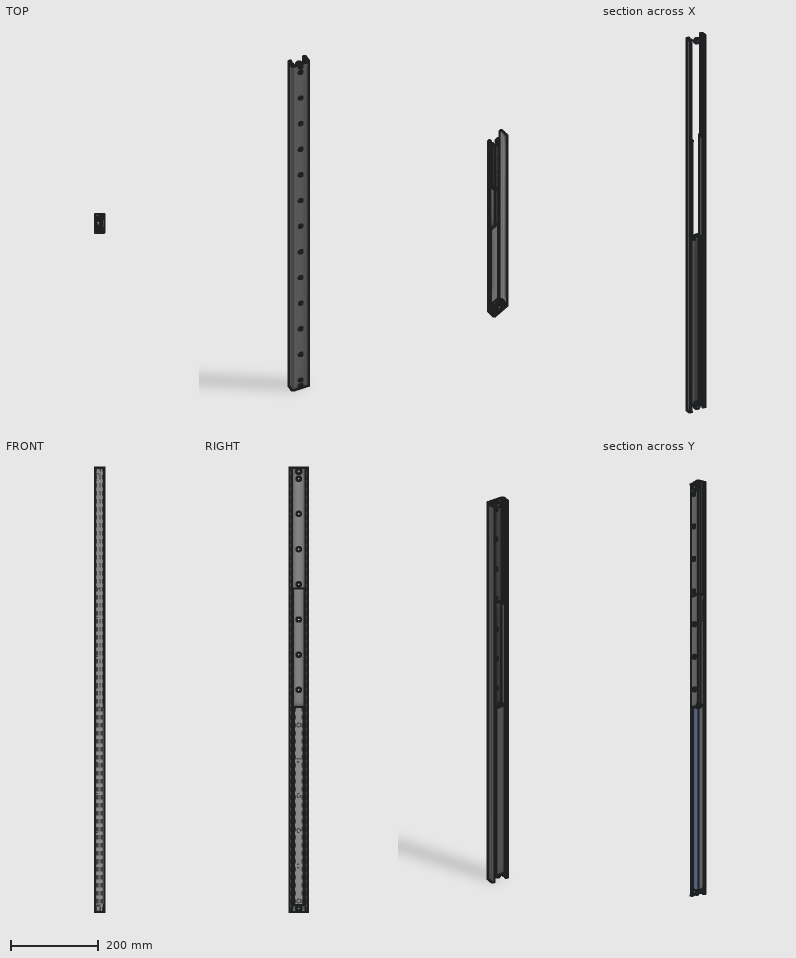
import cadquery as cq

rail_length = 1010.0
rail_width = 43.0
back_x = -11.0
lip_x = 10.5
web_thickness = 3.5
flange_thickness = 6.0
rail_corner_radius = 2.6

web_inner_x = back_x + web_thickness
flange_inner_y = rail_width / 2 - flange_thickness

raceway_x = 3.0
raceway_radius = 3.0

mount_hole_diameter = 9.0
mount_hole_pitch = 80.0
mount_hole_count = 13
mount_hole_heights = [
    (i - (mount_hole_count - 1) / 2) * mount_hole_pitch for i in range(mount_hole_count)
]

pin_stem_diameter = mount_hole_diameter
pin_head_diameter = 12.0
pin_end_offset = 8.0
pin_inner_x = 1.5
pin_height = rail_length / 2 - pin_end_offset

slider_length = 450.0
stop_clearance = 2.0
slider_bottom_z = -pin_height + pin_head_diameter / 2 + stop_clearance
slider_front_x = 11.0
slider_back_x = -4.5
slider_width = 22.0
slider_inner_width = 15.0
slider_web_inner_x = 4.5

cage_length = 720.0
cage_bottom_z = slider_bottom_z
cage_width = 28.0
cage_thickness = 1.2
cage_back_x = -6.5
cage_front_x = lip_x


def box_between(x_start, x_end, width, z_start, length):
    """Box centred on Y = 0, from x_start to x_end, rising from z_start."""
    return (
        cq.Workplane("XY", origin=(x_start, 0, z_start))
        .box(x_end - x_start, width, length, centered=(False, True, False))
    )


def rod_along_x(diameter, height, x_start, x_end):
    """Round bar parallel to X on the centre plane Y = 0, at the given height."""
    return (
        cq.Workplane("YZ", origin=(x_start, 0, height))
        .circle(diameter / 2)
        .extrude(x_end - x_start)
    )


def make_rail():
    bottom_z = -rail_length / 2
    body = box_between(back_x, lip_x, rail_width, bottom_z, rail_length)
    body = body.edges("|Z").fillet(rail_corner_radius)
    body = body.cut(box_between(web_inner_x, lip_x, 2 * flange_inner_y, bottom_z, rail_length))
    raceways = (
        cq.Workplane("XY", origin=(0, 0, bottom_z))
        .pushPoints([(raceway_x, flange_inner_y), (raceway_x, -flange_inner_y)])
        .circle(raceway_radius)
        .extrude(rail_length)
    )
    body = body.cut(raceways)
    for height in mount_hole_heights:
        body = body.cut(rod_along_x(mount_hole_diameter, height, back_x, web_inner_x))
    for height in (-pin_height, pin_height):
        body = body.cut(rod_along_x(pin_stem_diameter, height, back_x, web_inner_x))
    return body


def make_stop_pin(height):
    stem = rod_along_x(pin_stem_diameter, height, back_x, web_inner_x)
    head = rod_along_x(pin_head_diameter, height, web_inner_x, pin_inner_x)
    return stem.union(head)


def make_slider():
    body = box_between(slider_back_x, slider_front_x, slider_width, slider_bottom_z, slider_length)
    channel = box_between(
        slider_back_x, slider_web_inner_x, slider_inner_width, slider_bottom_z, slider_length
    )
    return body.cut(channel)


def make_cage():
    body = box_between(cage_back_x, cage_front_x, cage_width, cage_bottom_z, cage_length)
    body = body.cut(
        box_between(
            cage_back_x + cage_thickness,
            cage_front_x,
            cage_width - 2 * cage_thickness,
            cage_bottom_z,
            cage_length,
        )
    )
    for height in mount_hole_heights:
        if cage_bottom_z < height < cage_bottom_z + cage_length:
            body = body.cut(
                rod_along_x(mount_hole_diameter, height, cage_back_x, cage_back_x + cage_thickness)
            )
    return body


rail = make_rail()
slider = make_slider()
cage = make_cage()
stop_pins = [make_stop_pin(height) for height in (-pin_height, pin_height)]

result = cq.Compound.makeCompound(
    [rail.val(), slider.val(), cage.val(), *[pin.val() for pin in stop_pins]]
)